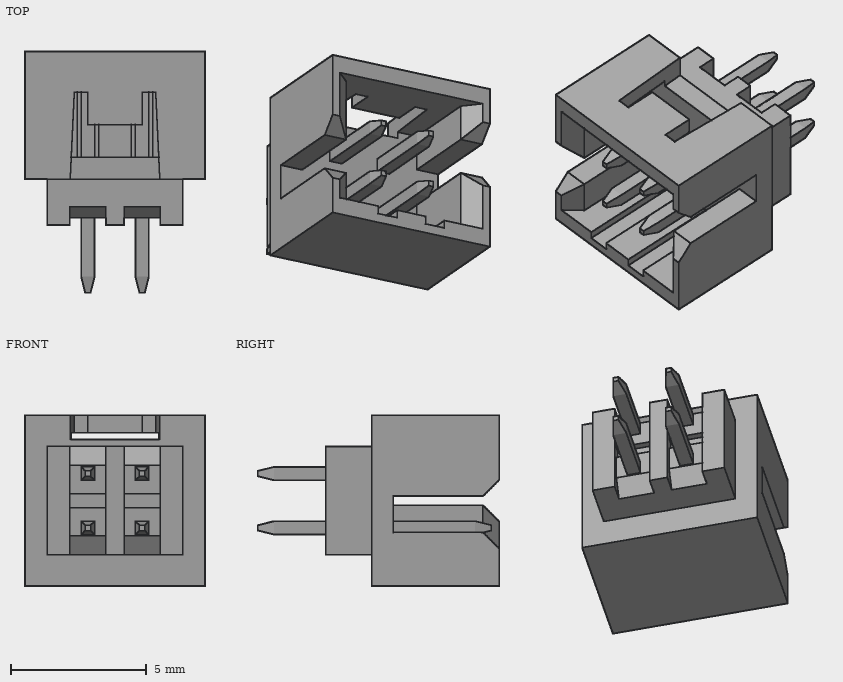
import cadquery as cq


shroud_width = 6.65
shroud_length = 4.7
shroud_height = 6.3
mid_z = shroud_height / 2
shroud_floor = 0.8
side_wall = 0.9
top_wall = 0.65
bottom_wall = top_wall
cavity_width = shroud_width - 2 * side_wall
lead_in = 0.6

window_rear_width = 3.3
window_front_width = 3.0
window_length = 3.2
window_floor_depth = 0.89
tab_width = 2.0
tab_rear_y = 2.0

slit_height = 1.33
slit_overlap = 0.165
slit_chamfer = 0.6

groove_width = 0.8
groove_depth = 0.3

block_width = 5.0
block_length = 1.7
block_height = 4.0
channel_width = 1.33
channel_floor_depth = 0.27
channel_end_depth = 0.68
channel_slope_height = 0.7
channel_step_height = 0.5
channel_step_depth = 0.5

pitch = 2.0
pin_size = 0.5
pin_tip_size = 0.2
pin_tip_length = 0.6
pin_front_y = 4.4
pin_rear_y = -4.2
column_x = (-pitch / 2, pitch / 2)
row_z = (mid_z - pitch / 2, mid_z + pitch / 2)


def box(x_range, y_range, z_range):
    """Box spanning the given (low, high) ranges."""
    size = [high - low for low, high in (x_range, y_range, z_range)]
    corner = (x_range[0], y_range[0], z_range[0])
    return cq.Workplane("XY").box(*size, centered=False).translate(corner)


def centered_range(center, size):
    return center - size / 2, center + size / 2


def cavity():
    """Mating cavity with 45 degree lead-ins on its two side walls."""
    half = cavity_width / 2
    outline = [
        (-half, shroud_floor),
        (half, shroud_floor),
        (half, shroud_length - lead_in),
        (half + lead_in, shroud_length),
        (-half - lead_in, shroud_length),
        (-half, shroud_length - lead_in),
    ]
    height = shroud_height - bottom_wall - top_wall
    return cq.Workplane("XY").workplane(offset=bottom_wall).polyline(outline).close().extrude(height)


def latch_window():
    """Tapered opening in the top wall around the latch tab."""
    half_rear = window_rear_width / 2
    half_front = window_front_width / 2
    half_tab = tab_width / 2
    outline = [
        (-half_rear, 0),
        (half_rear, 0),
        (half_front, window_length),
        (half_tab, window_length),
        (half_tab, tab_rear_y),
        (-half_tab, tab_rear_y),
        (-half_tab, window_length),
        (-half_front, window_length),
    ]
    return (
        cq.Workplane("XY")
        .workplane(offset=shroud_height - window_floor_depth)
        .polyline(outline)
        .close()
        .extrude(window_floor_depth)
    )


def side_slit(side):
    """Slit through one side wall (side is -1 or +1); the two are mirrored about mid-height."""
    near_z = mid_z + side * slit_overlap
    far_z = near_z - side * slit_height
    mouth_y = shroud_length - slit_chamfer
    outline = [
        (shroud_floor, near_z),
        (mouth_y, near_z),
        (shroud_length, near_z + side * slit_chamfer),
        (shroud_length, far_z - side * slit_chamfer),
        (mouth_y, far_z),
        (shroud_floor, far_z),
    ]
    return cq.Workplane("YZ").polyline(outline).close().extrude(side * shroud_width / 2)


def keying_groove(x):
    return box(
        centered_range(x, groove_width),
        (shroud_floor, shroud_length),
        (bottom_wall - groove_depth, bottom_wall),
    )


def block_channel(x):
    """Vertical channel in the rear block: sloped ends and a deeper step between the pins."""
    rear_y = -block_length
    floor_y = rear_y + channel_floor_depth
    end_y = rear_y + channel_end_depth
    half = block_height / 2
    half_flat = half - channel_slope_height
    outline = [
        (rear_y, mid_z - half),
        (end_y, mid_z - half),
        (floor_y, mid_z - half_flat),
        (floor_y, mid_z + half_flat),
        (end_y, mid_z + half),
        (rear_y, mid_z + half),
    ]
    x_low, x_high = centered_range(x, channel_width)
    channel = cq.Workplane("YZ").workplane(offset=x_low).polyline(outline).close().extrude(channel_width)
    step = box(
        (x_low, x_high),
        (rear_y, rear_y + channel_step_depth),
        centered_range(mid_z, channel_step_height),
    )
    return channel.union(step)


def pin_tip(x, z, end_y, direction):
    """Pyramid-shaped pin end that reaches end_y, pointing along direction (-1 or +1) in Y."""
    base = cq.Plane(
        origin=(x, end_y - direction * pin_tip_length, z),
        xDir=(1, 0, 0),
        normal=(0, direction, 0),
    )
    return (
        cq.Workplane(base)
        .rect(pin_size, pin_size)
        .workplane(offset=pin_tip_length)
        .rect(pin_tip_size, pin_tip_size)
        .loft(ruled=True)
    )


def pin(x, z):
    """Square pin with a pointed tip at both ends."""
    shank = box(
        centered_range(x, pin_size),
        (pin_rear_y + pin_tip_length, pin_front_y - pin_tip_length),
        centered_range(z, pin_size),
    )
    return shank.union(pin_tip(x, z, pin_front_y, 1)).union(pin_tip(x, z, pin_rear_y, -1))


half_width = shroud_width / 2
result = box((-half_width, half_width), (0, shroud_length), (0, shroud_height))
result = result.cut(cavity()).cut(latch_window())
for side in (-1, 1):
    result = result.cut(side_slit(side))

result = result.union(
    box(
        centered_range(0, block_width),
        (-block_length, 0),
        centered_range(mid_z, block_height),
    )
)

for x in column_x:
    result = result.cut(keying_groove(x)).cut(block_channel(x))
    for z in row_z:
        result = result.union(pin(x, z))